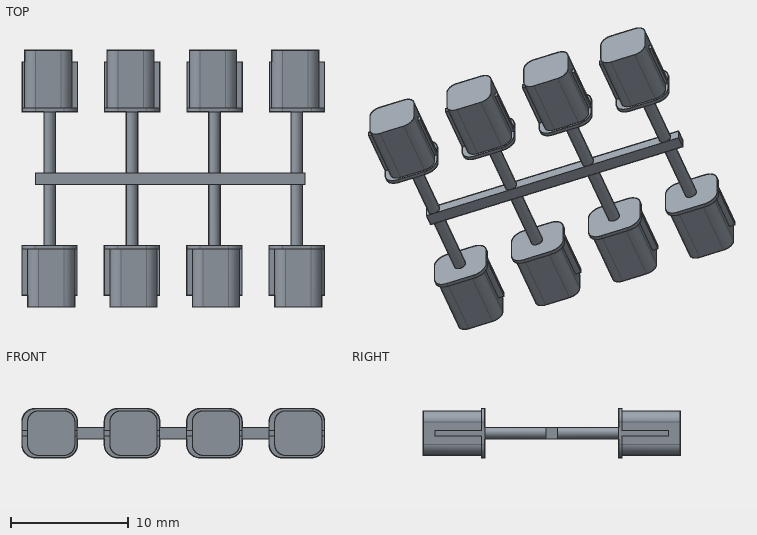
import cadquery as cq

PLUGS_PER_ROW = 4
PITCH = 7.0
OVERALL_LENGTH = 25.75
OVERALL_DEPTH = 21.85

BODY_WIDTH = 4.02
BODY_LENGTH = 4.95
BODY_CORNER_RADIUS = 0.93

FLANGE_HEIGHT = 4.2
FLANGE_THICKNESS = 0.3
FLANGE_LIP = 0.2
FLANGE_EXTRA_WIDTH = 0.28

RIB_THICKNESS = 0.5
RIB_LENGTH = 3.95

ROD_DIAMETER = 1.0
BAR_SIZE = 1.0
BAR_LENGTH = 22.95
BAR_OFFSET_X = -0.25

body_height = FLANGE_HEIGHT - 2 * FLANGE_LIP
flange_width = BODY_WIDTH + 2 * FLANGE_LIP + FLANGE_EXTRA_WIDTH
flange_corner_radius = BODY_CORNER_RADIUS + FLANGE_LIP

row_span = (PLUGS_PER_ROW - 1) * PITCH
rod_positions = [i * PITCH - row_span / 2 for i in range(PLUGS_PER_ROW)]

flange_shift = (OVERALL_LENGTH - row_span - flange_width) / 2
body_shift = flange_shift - FLANGE_EXTRA_WIDTH / 2

body_outer_y = OVERALL_DEPTH / 2
body_inner_y = body_outer_y - BODY_LENGTH
flange_inner_y = body_inner_y - FLANGE_THICKNESS


def block_along_y(width, height, x, y_start, y_end):
    """Block centred on x and z = 0, reaching from y_start to y_end."""
    length = y_end - y_start
    return cq.Workplane("XY").box(width, length, height).translate((x, y_start + length / 2, 0))


def make_plug():
    """Plug of the +Y row, with its rod axis at x = 0."""
    body = block_along_y(BODY_WIDTH, body_height, body_shift, body_inner_y, body_outer_y)
    body = body.edges("|Y").fillet(BODY_CORNER_RADIUS)

    flange = block_along_y(flange_width, FLANGE_HEIGHT, flange_shift, flange_inner_y, body_inner_y)
    flange = flange.edges("|Y").fillet(flange_corner_radius)

    ribs = block_along_y(flange_width, RIB_THICKNESS, flange_shift, body_inner_y, body_inner_y + RIB_LENGTH)
    return body.union(flange).union(ribs)


def make_rod():
    """Rod through the bar, joining the flanges of two facing plugs."""
    return cq.Workplane("XZ").circle(ROD_DIAMETER / 2).extrude(flange_inner_y, both=True)


bar = cq.Workplane("XY").box(BAR_LENGTH, BAR_SIZE, BAR_SIZE).translate((BAR_OFFSET_X, 0, 0))
back_plug = make_plug()
front_plug = back_plug.rotate((0, 0, 0), (0, 0, 1), 180)
plug_pair = make_rod().union(back_plug).union(front_plug)

result = bar
for rod_x in rod_positions:
    result = result.union(plug_pair.translate((rod_x, 0, 0)))